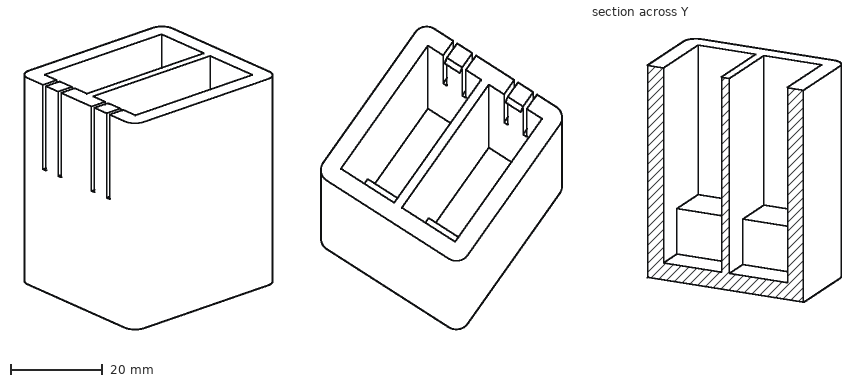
import cadquery as cq

WIDTH = 38.0
DEPTH = 42.0
HEIGHT = 49.0
CORNER_RADIUS = 3.0
BASE_HEIGHT = 4.0

POCKET_WIDTH = 14.0
POCKET_LENGTH = 34.0
DIVIDER = 2.0
WALL = (DEPTH - POCKET_LENGTH) / 2
POCKET_OFFSET = (POCKET_WIDTH + DIVIDER) / 2
LEDGE_LENGTH = 10.5
LEDGE_TOP = BASE_HEIGHT + LEDGE_LENGTH

CLIP_WIDTH = 4.0
SLOT_WIDTH = 1.0
SLOT_DEPTH = 20.05
BARB_REACH = 1.0
BARB_RAMP = 1.4

FRONT = -DEPTH / 2
POCKET_FRONT = FRONT + WALL
LEDGE_FRONT = POCKET_FRONT + POCKET_LENGTH - LEDGE_LENGTH


def box(x_middle, x_size, y_start, y_size, z_start, z_end):
    """Box centred in X and starting at the given Y and Z."""
    return (
        cq.Workplane("XY")
        .box(x_size, y_size, z_end - z_start, centered=(True, False, False))
        .translate((x_middle, y_start, z_start))
    )


def pocket(x_middle):
    """Cavity with a deep front part and a shallow rear part over the ledge."""
    deep = box(x_middle, POCKET_WIDTH, POCKET_FRONT, POCKET_LENGTH - LEDGE_LENGTH, BASE_HEIGHT, HEIGHT)
    shallow = box(x_middle, POCKET_WIDTH, LEDGE_FRONT, LEDGE_LENGTH, LEDGE_TOP, HEIGHT)
    return deep.union(shallow)


def barb(x_middle):
    """Wedge on the inside of the clip, sloped on top and flat below."""
    bottom = HEIGHT - BARB_RAMP
    return (
        cq.Workplane("YZ", origin=(x_middle, 0, 0))
        .moveTo(POCKET_FRONT, HEIGHT)
        .lineTo(POCKET_FRONT + BARB_REACH, bottom)
        .lineTo(POCKET_FRONT, bottom)
        .close()
        .extrude(CLIP_WIDTH / 2, both=True)
    )


def rounded_block(z_start, z_end):
    """Full-size block with rounded vertical corners."""
    return box(0, WIDTH, FRONT, DEPTH, z_start, z_end).edges("|Z").fillet(CORNER_RADIUS)


base = rounded_block(0, BASE_HEIGHT)
body = rounded_block(BASE_HEIGHT, HEIGHT)
for x_pocket in (-POCKET_OFFSET, POCKET_OFFSET):
    body = body.cut(pocket(x_pocket))
    for side in (-1, 1):
        x_slot = x_pocket + side * (CLIP_WIDTH + SLOT_WIDTH) / 2
        body = body.cut(box(x_slot, SLOT_WIDTH, FRONT, WALL, HEIGHT - SLOT_DEPTH, HEIGHT))
    body = body.union(barb(x_pocket))

result = base.union(body, clean=False)